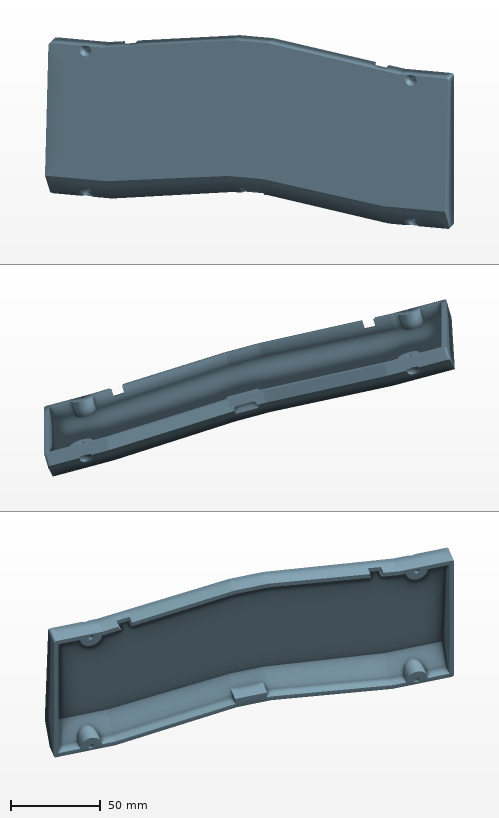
import cadquery as cq
import math

width = 233.3
height = 100.0
depth = 17.7
top_depth = 10.0
bottom_depth = 7.2
ridge_height = 13.3
shoulder_height = 89.0
arch_rise = 10.3
upper_center = 1.6
upper_flat = 19.5
upper_span = 172.6
lower_flat = 20.0
lower_span = 161.5
corner_radius = 1.5
knee_radius = 4.7
wall = 2.8
plate = 2.8

screw_spacing = 189.9
lower_screw_height = 3.0
upper_screw_height = 86.5
screw_diameter = 3.3
head_diameter = 6.8
sink_depth = 1.6
boss_diameter = 12.5
lower_seat = 6.5

notch_spacing = 146.5
notch_width = 7.7
notch_depth = 5.0
notch_reach = 3.3

port_width = 13.0
port_back = 4.7
port_height = 3.7
port_radius = 2.0

tolerance = 0.02
margin = 46.7

half_width = width / 2
face_slope = (depth - top_depth) / (height - ridge_height)
bevel_slope = (depth - bottom_depth) / ridge_height


def lower_edge():
    """Points of the lower edge, from left to right."""
    return [
        (-lower_span / 2, 0),
        (-lower_flat / 2, arch_rise),
        (lower_flat / 2, arch_rise),
        (lower_span / 2, 0),
    ]


def lower_knees():
    """Inner corners of the lower edge, at the ends of its level stretch."""
    return lower_edge()[1:3]


def upper_edge():
    """Points of the upper edge, from right to left."""
    return [
        (upper_center + upper_span / 2, shoulder_height),
        (upper_center + upper_flat / 2, height),
        (upper_center - upper_flat / 2, height),
        (upper_center - upper_span / 2, shoulder_height),
    ]


def round_points(wire, points, radius):
    """Round the corners of a flat wire that lie at the given (x, z) points."""
    corners = [
        vertex for vertex in wire.Vertices()
        if any(math.hypot(vertex.X - x, vertex.Z - z) < tolerance for x, z in points)
    ]
    return wire.fillet2D(radius, corners)


def front_wire(points, y=0):
    """Closed wire through (x, z) points in the plane at the given y."""
    return cq.Wire.makePolygon([cq.Vector(x, y, z) for x, z in points], close=True)


def outline():
    """Front outline with rounded corners and inner knees."""
    lower_corners = [(-half_width, 0), (half_width, 0)]
    upper_corners = [(half_width, shoulder_height), (-half_width, shoulder_height)]
    left, right = lower_corners
    upper_right, upper_left = upper_corners
    wire = front_wire([left] + lower_edge() + [right, upper_right] + upper_edge() + [upper_left])
    wire = round_points(wire, lower_corners + upper_corners, corner_radius)
    upper_knees = [upper_edge()[0], upper_edge()[-1]]
    return round_points(wire, lower_knees() + upper_knees, knee_radius)


def forward_prism(wire):
    """Prism from a wire at the back to the full depth."""
    return cq.Workplane(cq.Solid.extrudeLinear(wire, [], cq.Vector(0, -depth, 0)))


def bevel_cutter():
    """Region below the lower edge, swept obliquely forward and upward to cut the bevel."""
    far_x = half_width + margin
    region = [(-far_x, 0)] + lower_edge() + [(far_x, 0), (far_x, -margin), (-far_x, -margin)]
    base = round_points(front_wire(region, -bottom_depth), lower_knees(), knee_radius)
    sweep = cq.Vector(0, -depth, depth / bevel_slope)
    return cq.Workplane(cq.Solid.extrudeLinear(base, [], sweep))


def front_wedge():
    """Side profile behind the sloping front face."""
    low_y = -depth - face_slope * (ridge_height + margin)
    high_y = -top_depth + face_slope * margin
    profile = [(margin, -margin), (low_y, -margin), (high_y, height + margin), (margin, height + margin)]
    return cq.Workplane("YZ").polyline(profile).close().extrude(width, both=True)


def screw_bosses():
    """Solid posts left in the hollow around the four screws."""
    centers = [
        (side * screw_spacing / 2, z)
        for side in (-1, 1) for z in (lower_screw_height, upper_screw_height)
    ]
    return cq.Workplane("XZ").pushPoints(centers).circle(boss_diameter / 2).extrude(depth)


def port_block():
    """Solid block left in the hollow around the cable port."""
    block = cq.Workplane("XY").box(port_width + 2 * wall, depth, 2 * (port_height + wall))
    return block.translate((upper_center, -depth / 2, arch_rise))


def cavity():
    """Hollow open at the back, leaving even walls and an even front plate."""
    prism = forward_prism(outline().offset2D(-wall)[0])
    front_shift = plate * math.hypot(1, face_slope)
    bevel_shift = wall * math.hypot(1, bevel_slope)
    prism = prism.intersect(front_wedge().translate((0, front_shift, 0)))
    prism = prism.cut(bevel_cutter().translate((0, bevel_shift, 0)))
    return prism.cut(screw_bosses()).cut(port_block())


def screw_hole(x, z, seat):
    """Bore, cone and head clearance of a screw whose cone starts at the seat distance from the back."""
    center = cq.Vector(x, -seat, z)
    backward = cq.Vector(0, 1, 0)
    head = cq.Solid.makeCylinder(head_diameter / 2, depth, center, -backward)
    cone = cq.Solid.makeCone(head_diameter / 2, screw_diameter / 2, sink_depth, center, backward)
    bore = cq.Solid.makeCylinder(screw_diameter / 2, depth, center, backward)
    return cq.Workplane(head).union(cq.Workplane(cone)).union(cq.Workplane(bore))


def upper_screw_hole(x):
    """Countersunk through hole whose cone starts on the front face."""
    z = upper_screw_height
    return screw_hole(x, z, depth - face_slope * (z - ridge_height))


def lower_screw_hole(x):
    """Countersunk through hole with a flat seat that is open to the lower edge."""
    z = lower_screw_height
    channel = cq.Workplane("XY").box(head_diameter, depth, z, centered=(True, False, False))
    channel = channel.translate((x, -lower_seat - depth, 0))
    return screw_hole(x, z, lower_seat).union(channel)


def top_notch(side):
    """Notch with rounded lower corners through the top wall, square to the sloping edge."""
    run = (upper_span - upper_flat) / 2
    drop = height - shoulder_height
    x = side * notch_spacing / 2
    z = height - drop * (abs(x) - upper_flat / 2) / run
    angle = side * math.degrees(math.atan2(drop, run))
    notch = cq.Workplane("XY").box(notch_width, 2 * notch_depth, 2 * notch_reach)
    notch = notch.edges("|Y and <Z").fillet(port_radius)
    return notch.rotate((0, 0, 0), (0, 1, 0), angle).translate((x + upper_center, 0, z))


def cable_port():
    """Port in the bevel at the middle, with rounded corners toward the back."""
    port = cq.Workplane("XY").box(port_width, depth, 2 * port_height)
    port = port.edges("|Z and >Y").fillet(port_radius)
    return port.translate((upper_center, -port_back - depth / 2, arch_rise))


result = forward_prism(outline()).intersect(front_wedge()).cut(bevel_cutter()).cut(cavity())
for side in (-1, 1):
    screw_x = side * screw_spacing / 2
    result = result.cut(upper_screw_hole(screw_x))
    result = result.cut(lower_screw_hole(screw_x))
    result = result.cut(top_notch(side))
result = result.cut(cable_port())